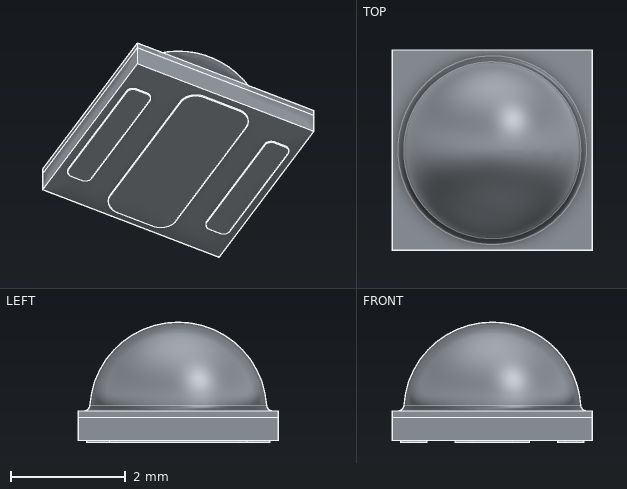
import cadquery as cq
import math

package_side = 3.5
overall_height = 2.1
dome_radius = 1.55
dome_fillet = 0.1
substrate_thickness = 0.4
pad_thickness = 0.03
pad_reach = 1.6

thermal_pad_width = 1.302
thermal_pad_corner = 0.3
contact_pad_width = 0.46
contact_pad_length = 2.4
contact_pad_corner = 0.125

substrate_top = pad_thickness + substrate_thickness
layer_top = overall_height - dome_radius
layer_thickness = layer_top - substrate_top
contact_pad_offset = pad_reach - contact_pad_width / 2


def square_plate(bottom, thickness):
    """Square plate with the full package footprint."""
    return cq.Workplane("XY", origin=(0, 0, bottom)).rect(package_side, package_side).extrude(thickness)


def solder_pad(center_x, width, length, corner_radius):
    """Thin pad with rounded corners, its bottom face at z = 0."""
    return (
        cq.Workplane("XY")
        .center(center_x, 0)
        .rect(width, length)
        .extrude(pad_thickness)
        .edges("|Z")
        .fillet(corner_radius)
    )


def make_substrate():
    """Square substrate with one thermal pad and two contact pads underneath."""
    substrate = square_plate(pad_thickness, substrate_thickness)
    substrate = substrate.union(solder_pad(0, thermal_pad_width, 2 * pad_reach, thermal_pad_corner))
    for side in (-1, 1):
        contact_pad = solder_pad(
            side * contact_pad_offset, contact_pad_width, contact_pad_length, contact_pad_corner
        )
        substrate = substrate.union(contact_pad)
    return substrate


def make_dome():
    """Hemisphere with a blended foot, revolved about the Z axis."""
    center_distance = dome_radius + dome_fillet
    foot_radius = math.sqrt(center_distance**2 - dome_fillet**2)
    tangent_angle = math.asin(dome_fillet / center_distance)
    dome_mid_angle = (tangent_angle + math.pi / 2) / 2
    blend_mid_angle = (math.pi + tangent_angle + 3 * math.pi / 2) / 2

    def dome_point(angle):
        return dome_radius * math.cos(angle), layer_top + dome_radius * math.sin(angle)

    blend_middle = (
        foot_radius + dome_fillet * math.cos(blend_mid_angle),
        layer_top + dome_fillet + dome_fillet * math.sin(blend_mid_angle),
    )
    return (
        cq.Workplane("XZ")
        .moveTo(0, substrate_top)
        .lineTo(foot_radius, substrate_top)
        .lineTo(foot_radius, layer_top)
        .threePointArc(blend_middle, dome_point(tangent_angle))
        .threePointArc(dome_point(dome_mid_angle), (0, overall_height))
        .close()
        .revolve(360, (0, 0, 0), (0, 1, 0))
    )


def make_lens():
    """Clear dome and the thin square layer moulded with it."""
    return square_plate(substrate_top, layer_thickness).union(make_dome())


substrate = make_substrate()
lens = make_lens()

result = cq.Compound.makeCompound([substrate.solids().val(), lens.solids().val()])